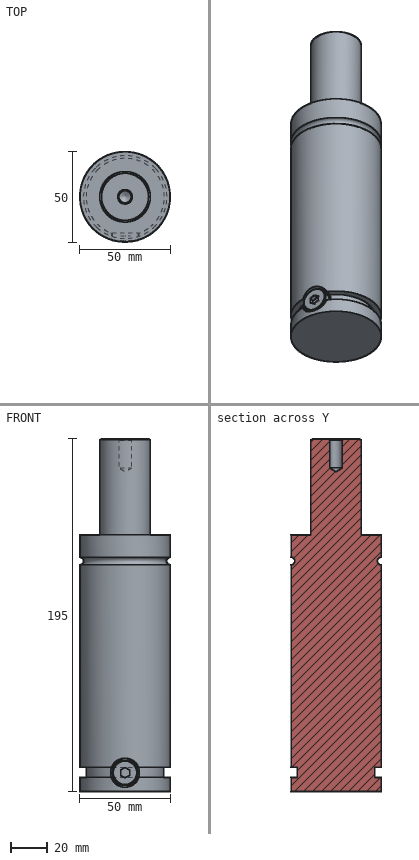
import cadquery as cq
import math

body_diameter = 50.0
body_radius = body_diameter / 2
body_height = 142.0
total_height = 195.0

rod_diameter = 28.0
rod_chamfer_width = 1.0
rod_chamfer_angle = 30.0

hole_diameter = 6.8
hole_depth = 16.0
hole_mouth_diameter = 8.0
drill_point_angle = 118.0

round_groove_radius = 2.0
round_groove_drop = 14.5
round_groove_z = body_height - round_groove_drop

clamp_groove_bottom = 8.0
clamp_groove_width = 5.5
clamp_groove_depth = 3.5

plug_z = 10.5
plug_seat_diameter = 16.0
plug_diameter = 14.0
plug_face_setback = 0.6
plug_chamfer = 0.5
plug_seat_depth = 5.1
hex_sides = 6
hex_across_flats = 5.0
hex_depth = 3.0


def make_body():
    """Plain cylinder with its two turned grooves."""
    body = cq.Workplane("XY").circle(body_radius).extrude(body_height)
    round_groove = (
        cq.Workplane("XZ")
        .center(body_radius, round_groove_z)
        .circle(round_groove_radius)
        .revolve(360, (-body_radius, 0), (-body_radius, 1))
    )
    clamp_groove = (
        cq.Workplane("XY", origin=(0, 0, clamp_groove_bottom))
        .circle(body_radius)
        .circle(body_radius - clamp_groove_depth)
        .extrude(clamp_groove_width)
    )
    return body.cut(round_groove).cut(clamp_groove)


def make_rod():
    """Piston rod with a chamfered end and a blind, countersunk core hole."""
    chamfer_height = rod_chamfer_width * math.tan(math.radians(rod_chamfer_angle))
    rod = (
        cq.Workplane("XY", origin=(0, 0, body_height))
        .circle(rod_diameter / 2)
        .extrude(total_height - body_height)
        .faces(">Z")
        .chamfer(chamfer_height, rod_chamfer_width)
    )
    hole_radius = hole_diameter / 2
    mouth_radius = hole_mouth_diameter / 2
    floor_z = total_height - hole_depth
    point_length = hole_radius / math.tan(math.radians(drill_point_angle / 2))
    hole = (
        cq.Workplane("XZ")
        .moveTo(0, total_height)
        .lineTo(mouth_radius, total_height)
        .lineTo(hole_radius, total_height - (mouth_radius - hole_radius))
        .lineTo(hole_radius, floor_z)
        .lineTo(0, floor_z - point_length)
        .close()
        .revolve(360, (0, 0), (0, 1))
    )
    return rod.cut(hole)


def plug_plane(setback):
    """Plane facing -Y at the plug axis, set back from the body's outer surface."""
    return cq.Workplane("XZ", origin=(0, setback - body_radius, plug_z))


def make_plug_seat():
    """Round seat, wider than the plug so a ring-shaped gap stays around it."""
    return plug_plane(0).circle(plug_seat_diameter / 2).extrude(-plug_seat_depth)


def make_plug():
    """Plug with a chamfered rim and a hexagon socket."""
    plug = (
        plug_plane(plug_face_setback)
        .circle(plug_diameter / 2)
        .extrude(plug_face_setback - plug_seat_depth)
        .faces("<Y")
        .chamfer(plug_chamfer)
    )
    hex_across_corners = hex_across_flats / math.cos(math.pi / hex_sides)
    socket = (
        plug_plane(plug_face_setback)
        .transformed(rotate=(0, 0, 90))
        .polygon(hex_sides, hex_across_corners)
        .extrude(-hex_depth)
    )
    return plug.cut(socket)


result = make_body().union(make_rod()).cut(make_plug_seat()).union(make_plug())